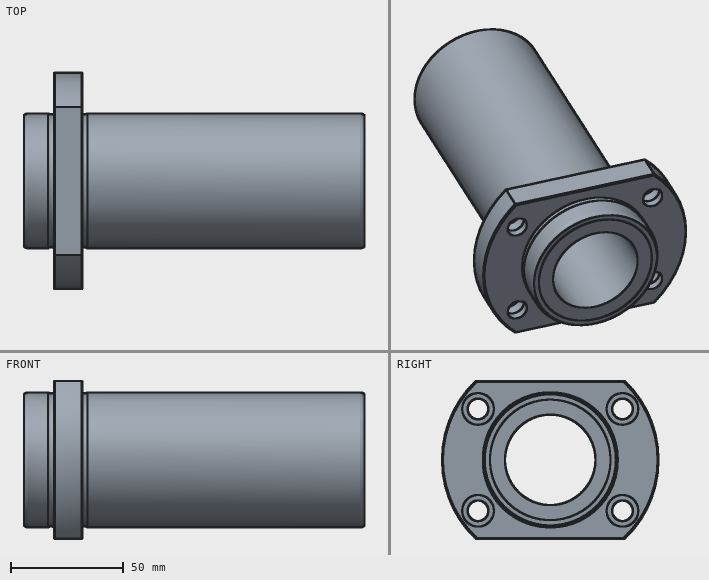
import cadquery as cq

length = 151.0
sleeve_diameter = 60.0
bore_diameter = 40.0
end_round_length = 1.8
end_round_depth = 0.9
end_round_radius = 3.0

seal_diameter = 53.5
seal_recess = 0.2

flange_start = 13.3
flange_thickness = 12.7
flange_diameter = 96.0
flange_height = 70.0
flange_chamfer = 0.5

relief_centers = (12.1, 26.7)
relief_width = 3.0
relief_depth = 0.5

hole_diameter = 9.0
counterbore_diameter = 14.0
counterbore_depth = 8.6
hole_spacing_y = 64.0
hole_spacing_z = 45.1

sleeve_radius = sleeve_diameter / 2
end_radius = sleeve_radius - end_round_depth


def make_sleeve():
    """Solid of revolution with rounded outer edges at both ends."""
    profile = (
        cq.Workplane("XY")
        .moveTo(length, end_radius)
        .lineTo(length, 0)
        .lineTo(0, 0)
        .lineTo(0, end_radius)
        .radiusArc((end_round_length, sleeve_radius), end_round_radius)
        .lineTo(length - end_round_length, sleeve_radius)
        .radiusArc((length, end_radius), end_round_radius)
        .close()
    )
    return profile.revolve(360, (0, 0, 0), (1, 0, 0))


def make_relief(center):
    """Ring with an arc-shaped bottom that cuts one relief groove."""
    profile = (
        cq.Workplane("XY")
        .moveTo(center - relief_width / 2, sleeve_radius)
        .threePointArc(
            (center, sleeve_radius - relief_depth),
            (center + relief_width / 2, sleeve_radius),
        )
        .close()
    )
    return profile.revolve(360, (0, 0, 0), (1, 0, 0))


def make_flange():
    """Disc cut to two horizontal flats, with chamfered face edges and four counterbored holes."""
    face_plane = cq.Workplane("YZ").workplane(offset=flange_start)
    disc = face_plane.circle(flange_diameter / 2).extrude(flange_thickness)
    flats = face_plane.rect(flange_diameter, flange_height).extrude(flange_thickness)
    flange = disc.intersect(flats).faces("<X or >X").chamfer(flange_chamfer)
    hole_centers = (
        cq.Workplane("YZ")
        .workplane(offset=flange_start + flange_thickness)
        .rect(hole_spacing_y, hole_spacing_z, forConstruction=True)
        .vertices()
    )
    holes = hole_centers.circle(hole_diameter / 2).extrude(-flange_thickness)
    counterbores = hole_centers.circle(counterbore_diameter / 2).extrude(-counterbore_depth)
    return flange.cut(holes).cut(counterbores)


sleeve = make_sleeve()
for relief_center in relief_centers:
    sleeve = sleeve.cut(make_relief(relief_center))

for recess_start in (0, length - seal_recess):
    recess_plane = cq.Workplane("YZ").workplane(offset=recess_start)
    sleeve = sleeve.cut(recess_plane.circle(seal_diameter / 2).extrude(seal_recess))

bore = cq.Workplane("YZ").circle(bore_diameter / 2).extrude(length)
result = sleeve.union(make_flange()).cut(bore)